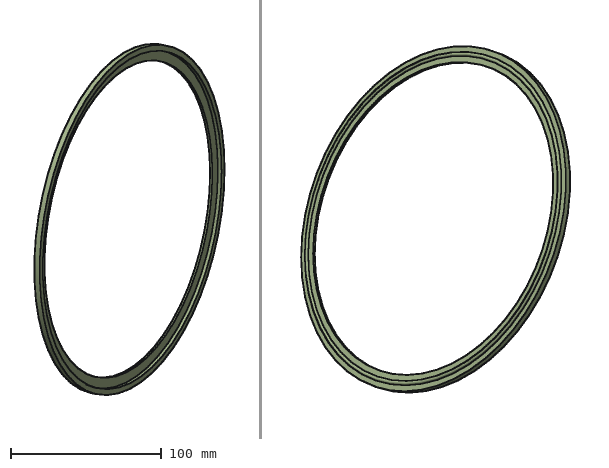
import cadquery as cq

outer_radius = 117.8
bore_radius = 106.7
total_depth = 6.0

bead_height = 1.2
bead_width = 2.8
bead_outer_radius = 113.7
bead_inner_radius = bead_outer_radius - bead_width
bead_crest_radius = bead_outer_radius - bead_width / 2

web_thickness = 2.0
rim_thickness = 4.2

web_front = bead_height
web_back = web_front + web_thickness
rim_front = total_depth - rim_thickness
rim_back = total_depth

profile = (
    cq.Workplane("XY")
    .moveTo(web_front, bore_radius)
    .lineTo(web_back, bore_radius)
    .lineTo(web_back, bead_outer_radius)
    .lineTo(rim_back, bead_outer_radius)
    .lineTo(rim_back, outer_radius)
    .lineTo(rim_front, outer_radius)
    .lineTo(rim_front, bead_outer_radius)
    .lineTo(web_front, bead_outer_radius)
    .threePointArc((0, bead_crest_radius), (web_front, bead_inner_radius))
    .close()
)

result = profile.revolve(360, (0, 0, 0), (1, 0, 0))